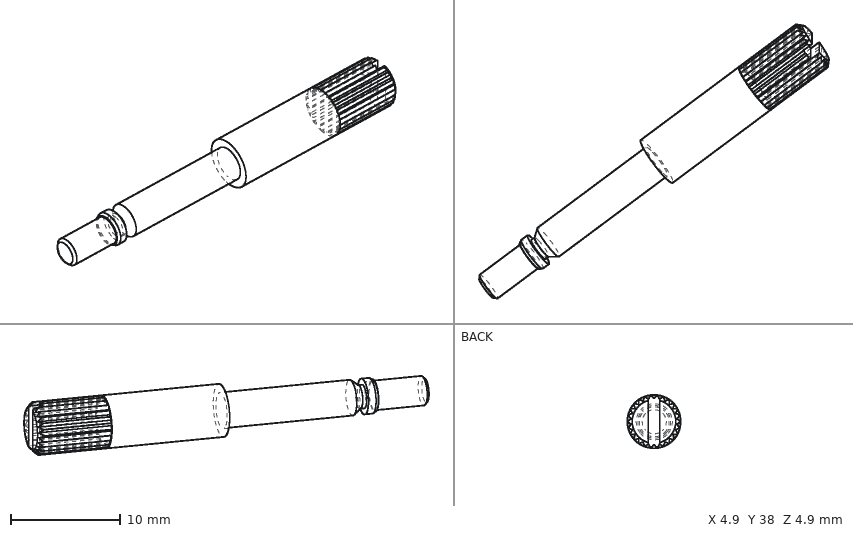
import cadquery as cq
import math

length = 38.0
head_diameter = 4.9
shaft_diameter = 3.3
pin_diameter = 2.75
neck_diameter = 2.2

collar_chamfer_start = 4.98
collar_start = 5.3
collar_end = 6.0
cone_start = 6.4
cone_end = 7.15
shoulder = 19.65

tip_chamfer = 0.25
head_chamfer = 0.45
knurl_length = 7.03
groove_count = 26
groove_depth = 0.35
crest_fraction = 0.03
slot_width = 1.05
slot_depth = 1.0

head_radius = head_diameter / 2
shaft_radius = shaft_diameter / 2
pin_radius = pin_diameter / 2
neck_radius = neck_diameter / 2


def turned_body():
    """Revolve the stepped half profile about the Y axis."""
    profile = [
        (0, 0),
        (pin_radius - tip_chamfer, 0),
        (pin_radius, tip_chamfer),
        (pin_radius, collar_chamfer_start),
        (shaft_radius - (collar_start - collar_chamfer_start) / 2, collar_chamfer_start),
        (shaft_radius, collar_start),
        (shaft_radius, collar_end),
        (neck_radius, collar_end),
        (neck_radius, cone_start),
        (shaft_radius, cone_end),
        (shaft_radius, shoulder),
        (head_radius, shoulder),
        (head_radius, length - head_chamfer),
        (head_radius - head_chamfer, length),
        (0, length),
    ]
    return cq.Workplane("XY").polyline(profile).close().revolve(360, (0, 0, 0), (0, 1, 0))


def knurl_grooves():
    """V grooves around the head, with one root on the +Z direction."""
    pitch = 2 * math.pi / groove_count
    half_angle = pitch * (1 - crest_fraction) / 2
    root_radius = head_radius - groove_depth
    surface_half_width = head_radius * math.sin(half_angle)
    surface_height = head_radius * math.cos(half_angle) - root_radius
    mouth_scale = 2
    mouth_half_width = surface_half_width * mouth_scale
    mouth_height = root_radius + surface_height * mouth_scale
    groove = (
        cq.Workplane("XZ", origin=(0, length, 0))
        .polyline([(0, root_radius), (mouth_half_width, mouth_height), (-mouth_half_width, mouth_height)])
        .close()
        .extrude(knurl_length)
    )
    grooves = []
    for index in range(groove_count):
        angle = math.degrees(index * pitch)
        grooves.append(groove.rotate((0, 0, 0), (0, 1, 0), angle))
    return grooves


def screwdriver_slot():
    """Straight slot across the knurled end, open along Z."""
    return cq.Workplane("XY").box(slot_width, slot_depth, head_diameter).translate(
        (0, length - slot_depth / 2, 0)
    )


result = turned_body()
for groove in knurl_grooves():
    result = result.cut(groove)
result = result.cut(screwdriver_slot())